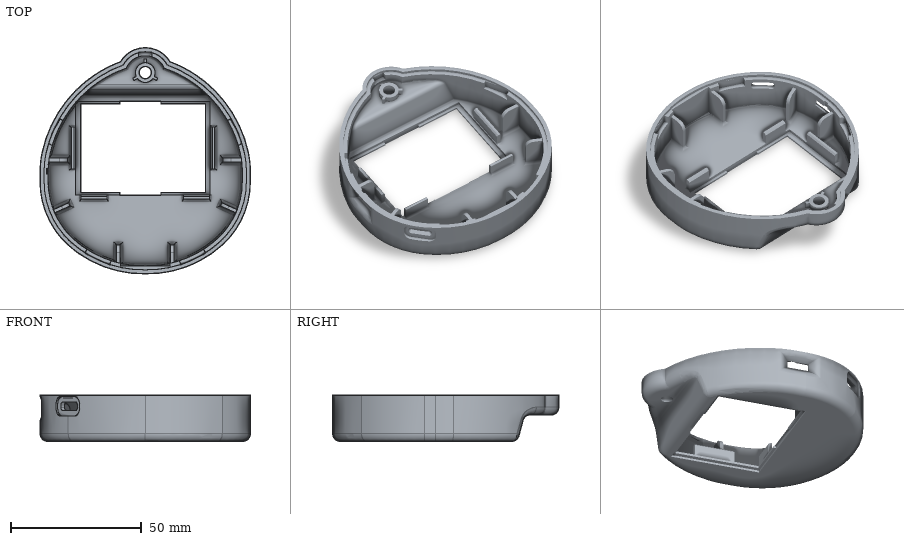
import cadquery as cq
import math

HEIGHT = 17.71
WALL = 3.1
RIM = 1.55
RIM_DEPTH = 1.1
FLOOR = 2.75
LEDGE_Z = HEIGHT - RIM_DEPTH
OUTER_ROUND = 3.0
INNER_ROUND = 0.6
EPS = 0.01

HALF_WIDTH = 80.39 / 2
FLANK_TOP = -3.9
FLANK_BOTTOM = -8.06
UPPER_SIDE_R = 33.0
UPPER_END_R = 48.0
UPPER_JOINT = 12.0
LOWER_SIDE_R = 32.5
LOWER_END_R = 42.92
LOWER_JOINT = -48.0

TAB_R = 11.0
TAB_Y = 86.47 / 2 - TAB_R
TAB_UNDERSIDE = 10.1
TAB_FLOOR = TAB_UNDERSIDE + FLOOR
STEP_FOOT_Y = 27.4
STEP_ANGLE = 15.0
STEP_OUTER_ROUND = 2.5
STEP_INNER_ROUND = 2.1

BOSS_Y = 33.7
BOSS_D = 7.5
BOSS_HEIGHT = 2.5
HOLE_D = 4.59
VANE_REACH = 5.2
VANE_WIDTH = 1.0
VANE_ANGLES = (90, 210, 330)

RECESS_LEFT, RECESS_RIGHT = -26.7, 24.8
RECESS_BOTTOM, RECESS_TOP = -13.1, 22.75
LIP_BOTTOM, LIP_TOP = 0.8, 1.6
OPENING_LEFT, OPENING_RIGHT = -24.6, 23.0
OPENING_BOTTOM, OPENING_TOP = -12.1, 21.75
LIP_GAP_LEFT, LIP_GAP_RIGHT = -9.7, 6.0

RETAINER_HEIGHT = 5.0
RETAINER_THICK = 1.5
RETAINER_FOOT = 0.9
RETAINER_END_FOOT = 0.5
RETAINER_BEVEL = 0.6
SIDE_RETAINER_LENGTH = 16.0
SIDE_RETAINER_Y = 4.9
RIGHT_RETAINER_GAP = 0.25
LOWER_RETAINER_LENGTH = 10.05
LOWER_RETAINER_X = 19.6

RIB_TOP = 14.9
RIB_THICK = 1.35
RIB_FOOT = 1.15
RIB_CORNER = 3.0
RIB_LENGTH = 16.0
RIBS = ((29.7, 0.3, 0.0), (29.0, -16.65, -24.2), (10.25, -32.1, -90.0))

NOTCH_LENGTH = 10.3
NOTCH_DEPTH = 3.2
NOTCH_WIDTH = 4.0
NOTCHES = ((35.1, 11.5, 30.0), (18.4, -37.6, -65.2))
TAB_NOTCH_LENGTH = 5.0
TAB_NOTCH_Y = 41.5
TAB_NOTCH_DEPTH = 2.6

RELIEF_LENGTH = 19.0
RELIEF_Y = -40.3

PORT_Y = -5.7
PORT_Z = 12.6
PORT_EXIT = (8.6, 2.9)
PORT_EXIT_X = -37.77
PORT_FLARE = (1.4, 1.0)
PORT_ROUND = 3.0
PORT_MOUTH_LIMIT_X = -39.3
PORT_SLOT_Y = -4.0
PORT_SLOT_WIDTH = 1.95
PORT_SLOT_X = -37.6

SLOT_ANGLE = 225.0
SLOT_Z = 13.45
SLOT_OFFSET = 1.25
SLOT_SEAT = 42.4
SLOT_LENGTH, SLOT_HEIGHT, SLOT_R = 9.0, 3.2, 1.2
SEAT_LENGTH, SEAT_HEIGHT, SEAT_R = 12.3, 7.4, 2.6


def arc_point(center, radius, degrees):
    a = math.radians(degrees)
    return (center[0] + radius * math.cos(a), center[1] + radius * math.sin(a))


def half_outline_arcs(flank_y, side_r, end_r, joint, inset):
    """Middle, end, middle, end points of the two arcs from a flank to the X = 0 plane."""
    side_center = (HALF_WIDTH - side_r, flank_y)
    end_center = arc_point(side_center, side_r - end_r, joint)
    side_r -= inset
    end_r -= inset
    last = math.copysign(math.degrees(math.acos(-end_center[0] / end_r)), joint)
    return [
        arc_point(side_center, side_r, joint / 2),
        arc_point(side_center, side_r, joint),
        arc_point(end_center, end_r, (joint + last) / 2),
        arc_point(end_center, end_r, last),
    ]


def egg(inset, bottom, top):
    upper = half_outline_arcs(FLANK_TOP, UPPER_SIDE_R, UPPER_END_R, UPPER_JOINT, inset)
    lower = half_outline_arcs(FLANK_BOTTOM, LOWER_SIDE_R, LOWER_END_R, LOWER_JOINT, inset)
    flank_x = HALF_WIDTH - inset

    def mirrored(p):
        return (-p[0], p[1])

    return (
        cq.Workplane("XY", origin=(0, 0, bottom))
        .moveTo(flank_x, FLANK_BOTTOM)
        .lineTo(flank_x, FLANK_TOP)
        .threePointArc(upper[0], upper[1])
        .threePointArc(upper[2], upper[3])
        .threePointArc(mirrored(upper[2]), mirrored(upper[1]))
        .threePointArc(mirrored(upper[0]), (-flank_x, FLANK_TOP))
        .lineTo(-flank_x, FLANK_BOTTOM)
        .threePointArc(mirrored(lower[0]), mirrored(lower[1]))
        .threePointArc(mirrored(lower[2]), lower[3])
        .threePointArc(lower[2], lower[1])
        .threePointArc(lower[0], (flank_x, FLANK_BOTTOM))
        .close()
        .extrude(top - bottom)
    )


def outline(inset, bottom, top):
    """Egg plus round tab, both pulled in by the same amount."""
    tab = cq.Workplane("XY", origin=(0, TAB_Y, bottom)).circle(TAB_R - inset).extrude(top - bottom)
    return egg(inset, bottom, top).union(tab)


def box(x0, x1, y0, y1, z0, z1):
    return cq.Workplane("XY").box(x1 - x0, y1 - y0, z1 - z0, centered=False).translate((x0, y0, z0))


def step_block(foot_y, foot_z, top_z, round_r):
    """Everything on the +Y side of the sloped step, below top_z, with its upper edge rounded."""
    slope = math.tan(math.radians(STEP_ANGLE))
    far_y = 2 * HALF_WIDTH
    below = foot_z - FLOOR
    block = (
        cq.Workplane("YZ", origin=(-HALF_WIDTH, 0, 0))
        .polyline([
            (foot_y - slope * FLOOR, below),
            (foot_y + slope * (top_z - foot_z), top_z),
            (far_y, top_z),
            (far_y, below),
        ])
        .close()
        .extrude(2 * HALF_WIDTH)
    )
    return block.faces(">Z").edges("<Y").fillet(round_r)


def lower_edges(body, rise):
    """Edges of the floor, the step sides and the tab floor, without the lines across the step."""

    def wanted(edge):
        bounds = edge.BoundingBox()
        across_step = edge.geomType() == "LINE" and bounds.zmin > rise / 2
        return bounds.zmax < rise and not across_step

    return body.newObject([edge for edge in body.edges().vals() if wanted(edge)])


def flat_edges(body, rise):
    """The level edges among the lower edges."""
    level = [e for e in lower_edges(body, rise).vals() if e.BoundingBox().zlen < EPS]
    return body.newObject(level)


def shell():
    body = outline(0, 0, HEIGHT)
    body = body.cut(step_block(STEP_FOOT_Y, 0, TAB_UNDERSIDE, STEP_OUTER_ROUND))
    return lower_edges(body, TAB_UNDERSIDE + EPS).fillet(OUTER_ROUND)


def cavity():
    slope = math.radians(STEP_ANGLE)
    foot_y = STEP_FOOT_Y + FLOOR * math.tan(slope) - WALL / math.cos(slope)
    room = outline(WALL, FLOOR, HEIGHT)
    room = room.cut(step_block(foot_y, FLOOR, TAB_FLOOR, STEP_INNER_ROUND))
    return flat_edges(room, TAB_FLOOR + EPS).fillet(INNER_ROUND)


def window():
    front = box(RECESS_LEFT, RECESS_RIGHT, RECESS_BOTTOM, RECESS_TOP, -EPS, LIP_BOTTOM)
    back = box(RECESS_LEFT, RECESS_RIGHT, RECESS_BOTTOM, RECESS_TOP, LIP_TOP, FLOOR + EPS)
    opening = box(OPENING_LEFT, OPENING_RIGHT, OPENING_BOTTOM, OPENING_TOP, 0, FLOOR)
    gap = box(LIP_GAP_LEFT, LIP_GAP_RIGHT, RECESS_BOTTOM, RECESS_TOP, 0, FLOOR)
    return front.union(back).union(opening).union(gap)


def boss():
    bottom = TAB_FLOOR - EPS
    height = BOSS_HEIGHT + EPS
    post = cq.Workplane("XY", origin=(0, BOSS_Y, bottom)).circle(BOSS_D / 2).extrude(height)
    for angle in VANE_ANGLES:
        vane = box(0, VANE_REACH, -VANE_WIDTH / 2, VANE_WIDTH / 2, bottom, bottom + height)
        post = post.union(vane.rotate((0, 0, 0), (0, 0, 1), angle).translate((0, BOSS_Y, 0)))
    return post


def boss_hole():
    return cq.Workplane("XY", origin=(0, BOSS_Y, 0)).circle(HOLE_D / 2).extrude(HEIGHT)


def footed_section(plane, width, height, left_foot, right_foot, run):
    """Upright of the given width, extruded both ways, with concave feet where it meets the floor."""
    half = width / 2
    bow = 1 - math.sqrt(0.5)
    section = cq.Workplane(plane).moveTo(half, height).lineTo(-half, height)
    if left_foot:
        section = section.lineTo(-half, left_foot).threePointArc(
            (-half - left_foot * bow, left_foot * bow), (-half - left_foot, 0)
        )
    section = section.lineTo(-half - left_foot, -EPS).lineTo(half + right_foot, -EPS)
    if right_foot:
        section = section.lineTo(half + right_foot, 0).threePointArc(
            (half + right_foot * bow, right_foot * bow), (half, right_foot)
        )
    return section.close().extrude(run, both=True)


def footed_plate(length, thick, height, feet, end_foot):
    """Plate along X centred on the origin; feet are the reaches of its feet toward -Y and +Y."""
    across = footed_section("YZ", thick, height, feet[0], feet[1], length)
    along = footed_section("XZ", length, height, end_foot, end_foot, length)
    return across.intersect(along)


def retainer(length, x, y, angle):
    """Plate whose bare, bevelled +Y face looks at the window once turned into place."""
    feet = (RETAINER_FOOT, 0)
    plate = footed_plate(length, RETAINER_THICK, RETAINER_HEIGHT, feet, RETAINER_END_FOOT)
    plate = plate.faces(">Z").edges(">Y").chamfer(RETAINER_BEVEL)
    return plate.rotate((0, 0, 0), (0, 0, 1), angle).translate((x, y, FLOOR))


def retainers():
    half = RETAINER_THICK / 2
    below = RECESS_BOTTOM - half
    right_x = RECESS_RIGHT + half + RIGHT_RETAINER_GAP
    left = retainer(SIDE_RETAINER_LENGTH, RECESS_LEFT - half, SIDE_RETAINER_Y, -90)
    right = retainer(SIDE_RETAINER_LENGTH, right_x, SIDE_RETAINER_Y, 90)
    lower_left = retainer(LOWER_RETAINER_LENGTH, -LOWER_RETAINER_X, below, 0)
    lower_right = retainer(LOWER_RETAINER_LENGTH, LOWER_RETAINER_X, below, 0)
    return left.union(right).union(lower_left).union(lower_right)


def rib(x, y, angle):
    height = RIB_TOP - FLOOR
    plate = footed_plate(RIB_LENGTH, RIB_THICK, height, (RIB_FOOT, RIB_FOOT), RIB_FOOT)
    plate = plate.faces(">Z").edges("<X").fillet(RIB_CORNER)
    plate = plate.translate((RIB_LENGTH / 2, 0, FLOOR))
    return plate.rotate((0, 0, 0), (0, 0, 1), angle).translate((x, y, 0))


def ribs():
    right = rib(*RIBS[0])
    for place in RIBS[1:]:
        right = right.union(rib(*place))
    both = right.union(right.mirror("YZ"))
    return both.intersect(outline(WALL / 2, FLOOR - EPS, HEIGHT))


def latch_notch(x, y, angle):
    half = NOTCH_LENGTH / 2
    block = box(-NOTCH_WIDTH, 0, -half, half, LEDGE_Z - NOTCH_DEPTH, LEDGE_Z + EPS)
    return block.rotate((0, 0, 0), (0, 0, 1), angle).translate((x, y, 0))


def ledge_cuts():
    half_tab = TAB_NOTCH_LENGTH / 2
    half_relief = RELIEF_LENGTH / 2
    notch_z = LEDGE_Z - TAB_NOTCH_DEPTH
    cuts = box(-half_tab, half_tab, TAB_NOTCH_Y - NOTCH_WIDTH, TAB_NOTCH_Y, notch_z, LEDGE_Z + EPS)
    for place in NOTCHES:
        notch = latch_notch(*place)
        cuts = cuts.union(notch).union(notch.mirror("YZ"))
    relief_z = FLOOR + INNER_ROUND
    relief = box(-half_relief, half_relief, RELIEF_Y, RELIEF_Y + WALL, relief_z, LEDGE_Z + EPS)
    return cuts.union(relief)


def port_funnel(plane, exit_width, flare, run):
    """Straight opening through the inner wall that widens outward from PORT_EXIT_X."""
    inner_x = PORT_EXIT_X + WALL
    outer_x = PORT_EXIT_X - WALL
    narrow = exit_width / 2
    broad = narrow + flare * WALL
    outline_points = [
        (inner_x, narrow),
        (PORT_EXIT_X, narrow),
        (outer_x, broad),
        (outer_x, -broad),
        (PORT_EXIT_X, -narrow),
        (inner_x, -narrow),
    ]
    return cq.Workplane(plane).polyline(outline_points).close().extrude(run, both=True)


def port():
    wide = port_funnel("XY", PORT_EXIT[0], PORT_FLARE[0], HEIGHT)
    tall = port_funnel("XZ", PORT_EXIT[1], PORT_FLARE[1], HEIGHT)
    funnel = wide.intersect(tall).translate((0, PORT_Y, PORT_Z))
    wall = egg(0, -HEIGHT, 2 * HEIGHT).intersect(
        box(-HALF_WIDTH, PORT_EXIT_X + WALL, PORT_Y - HEIGHT, PORT_Y + HEIGHT, -HEIGHT, 2 * HEIGHT)
    )
    reach_y = PORT_EXIT[0] / 2 + PORT_FLARE[0] * WALL
    reach_z = PORT_EXIT[1] / 2 + PORT_FLARE[1] * WALL
    mouth = cq.selectors.BoxSelector(
        (-HALF_WIDTH - EPS, PORT_Y - reach_y, PORT_Z - reach_z),
        (PORT_MOUTH_LIMIT_X, PORT_Y + reach_y, PORT_Z + reach_z),
        boundingbox=True,
    )
    opened = wall.cut(funnel).edges(mouth).fillet(PORT_ROUND)
    half = PORT_SLOT_WIDTH / 2
    slot_x = PORT_SLOT_X + WALL
    slot = box(PORT_SLOT_X, slot_x, PORT_SLOT_Y - half, PORT_SLOT_Y + half, PORT_Z, LEDGE_Z + EPS)
    return wall.cut(opened).union(slot)


def rounded_bar(length, height, corner, x0, x1):
    bar = box(x0, x1, -length / 2, length / 2, -height / 2, height / 2)
    return bar.edges("|X").fillet(corner)


def connector_slot():
    seat = rounded_bar(SEAT_LENGTH, SEAT_HEIGHT, SEAT_R, SLOT_SEAT, SLOT_SEAT + WALL)
    slot = rounded_bar(SLOT_LENGTH, SLOT_HEIGHT, SLOT_R, SLOT_SEAT - 2 * WALL, SLOT_SEAT + EPS)
    cut = seat.union(slot).translate((0, SLOT_OFFSET, SLOT_Z))
    return cut.rotate((0, 0, 0), (0, 0, 1), SLOT_ANGLE)


result = shell().cut(cavity())
result = result.cut(outline(RIM, LEDGE_Z, HEIGHT))
result = result.union(ribs()).union(retainers()).union(boss())
result = result.cut(window()).cut(boss_hole())
result = result.cut(ledge_cuts()).cut(port()).cut(connector_slot())